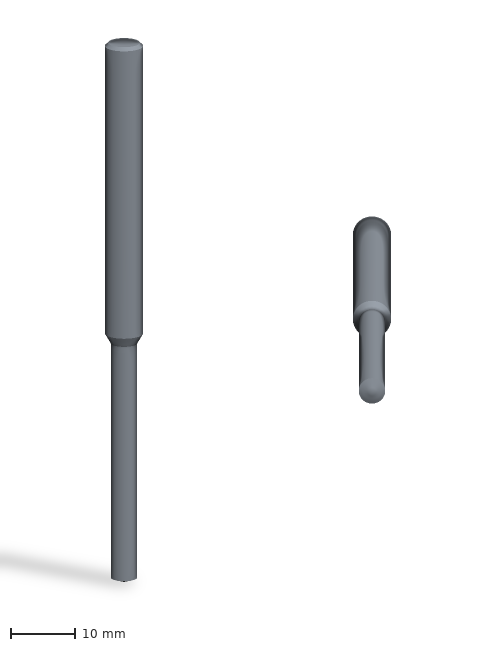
import cadquery as cq
import math

total_length = 88.0
shank_diameter = 6.0
drill_diameter = 4.1

top_chamfer_width = 0.5
top_chamfer_height = 0.5
shoulder_bottom_z = 39.0
shoulder_half_angle = 30.0

drill_top_z = 38.0
point_angle = 140.0

shank_radius = shank_diameter / 2
drill_radius = drill_diameter / 2
shoulder_height = (shank_radius - drill_radius) / math.tan(math.radians(shoulder_half_angle))
shoulder_top_z = shoulder_bottom_z + shoulder_height
tip_height = drill_radius / math.tan(math.radians(point_angle / 2))


def revolve_profile(points):
    """Turn a closed (radius, z) outline about the Z axis."""
    outline = cq.Workplane("XZ").polyline(points).close()
    return outline.revolve(360, (0, 0, 0), (0, 1, 0))


def make_shank():
    """Chamfered shank with a conical shoulder and a short neck."""
    return revolve_profile([
        (0, drill_top_z),
        (drill_radius, drill_top_z),
        (drill_radius, shoulder_bottom_z),
        (shank_radius, shoulder_top_z),
        (shank_radius, total_length - top_chamfer_height),
        (shank_radius - top_chamfer_width, total_length),
        (0, total_length),
    ])


def make_drill():
    """Cylindrical drill with a conical tip."""
    return revolve_profile([
        (0, 0),
        (drill_radius, tip_height),
        (drill_radius, drill_top_z),
        (0, drill_top_z),
    ])


shank = make_shank()
drill = make_drill()

result = cq.Compound.makeCompound([shank.val(), drill.val()])